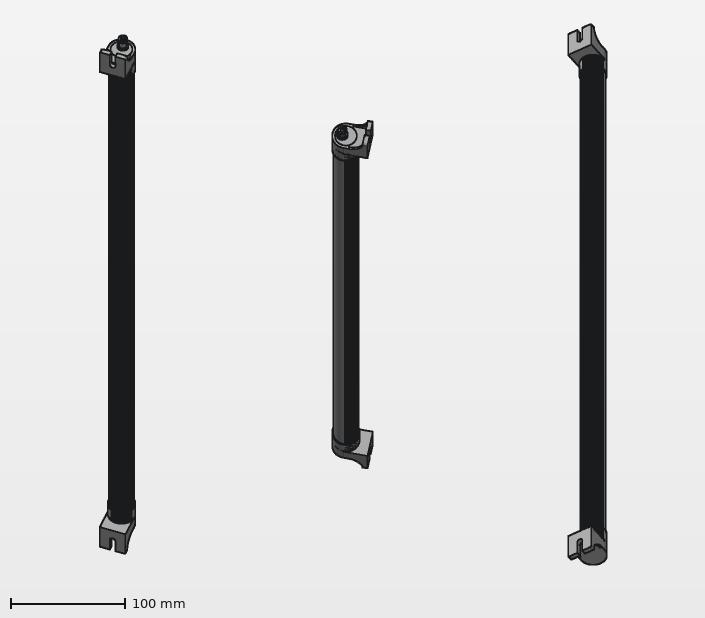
import cadquery as cq
import math

total_length = 638.5
half_length = total_length / 2

cap_diameter = 24.0
cap_radius = cap_diameter / 2
overall_depth = 34.0
mount_face_y = cap_radius - overall_depth
tab_height = 13.5
block_height = 12.0
collar_height = 13.5
tab_thickness = 4.5
tab_back_y = mount_face_y + tab_thickness
gusset_thickness = 2.0
gusset_radius = 13.0
tab_corner_radius = 1.0
slot_width = 5.0
slot_depth = 15.5

cap_end_z = half_length - tab_height
block_base_z = cap_end_z - block_height
collar_end_z = block_base_z - collar_height

tube_diameter = 22.5
tube_radius = tube_diameter / 2
flute_count = 32
flute_depth = 0.45
flute_span_angle = math.radians(170)

plug_diameter = 19.0
plug_depth = 6.5
connector_y = 3.0
connector_head_diameter = 7.5
connector_neck_diameter = 6.5
connector_flange_diameter = 9.5
connector_bore_diameter = 4.0
connector_head_height = 2.5
connector_flange_rise = 1.6
connector_top_drop = 2.5
connector_top_z = half_length - connector_top_drop
connector_flange_top_z = cap_end_z + connector_flange_rise
plug_base_z = cap_end_z - plug_depth


def cylinder(diameter, bottom_z, top_z, center_y=0.0):
    """Upright cylinder centred on X = 0."""
    return (
        cq.Workplane("XY", origin=(0, center_y, bottom_z))
        .circle(diameter / 2)
        .extrude(top_z - bottom_z)
    )


def make_gusset():
    """Side wall in the YZ plane that braces the tab with a concave arc."""
    arc_mid_offset = gusset_radius * (1 - math.sqrt(0.5))
    return (
        cq.Workplane("YZ")
        .moveTo(tab_back_y, cap_end_z)
        .lineTo(tab_back_y, cap_end_z + gusset_radius)
        .threePointArc(
            (tab_back_y + arc_mid_offset, cap_end_z + arc_mid_offset),
            (tab_back_y + gusset_radius, cap_end_z),
        )
        .close()
        .extrude(gusset_thickness)
    )


def make_slot():
    """Round-ended slot through the tab, open at its tip."""
    slot_center_z = half_length - slot_depth + slot_width / 2
    return (
        cq.Workplane("XZ", origin=(0, tab_back_y, 0))
        .moveTo(-slot_width / 2, half_length)
        .lineTo(-slot_width / 2, slot_center_z)
        .threePointArc((0, half_length - slot_depth), (slot_width / 2, slot_center_z))
        .lineTo(slot_width / 2, half_length)
        .close()
        .extrude(tab_thickness)
    )


def make_cap():
    """Upper-end cap with a tube socket, a mounting block and a slotted tab; no plug recess."""
    barrel = cylinder(cap_diameter, collar_end_z, cap_end_z)
    block = (
        cq.Workplane("XY")
        .box(cap_diameter, -mount_face_y, block_height, centered=(True, False, False))
        .translate((0, mount_face_y, block_base_z))
    )
    tab = (
        cq.Workplane("XY")
        .box(cap_diameter, tab_thickness, half_length - block_base_z, centered=(True, False, False))
        .translate((0, mount_face_y, block_base_z))
        .edges("|Y and >Z")
        .fillet(tab_corner_radius)
    )
    cap = barrel.union(block).union(tab)
    for left_x in (-cap_radius, cap_radius - gusset_thickness):
        cap = cap.union(make_gusset().translate((left_x, 0, 0)))
    socket = cylinder(tube_diameter, collar_end_z, block_base_z)
    return cap.cut(make_slot()).cut(socket)


def make_tube():
    """Round bar, smooth at the back and covered with fine lengthwise flutes around the -Y side."""
    flute_angle = flute_span_angle / flute_count
    first_crest = 1.5 * math.pi - flute_span_angle / 2
    last_crest = first_crest + flute_span_angle
    valley_radius = tube_radius - flute_depth

    def outline_point(radius, angle):
        return (radius * math.cos(angle), radius * math.sin(angle))

    outline = (
        cq.Workplane("XY", origin=(0, 0, -block_base_z))
        .moveTo(*outline_point(tube_radius, last_crest))
        .threePointArc((0, tube_radius), outline_point(tube_radius, first_crest))
    )
    for flute in range(flute_count):
        crest = first_crest + flute * flute_angle
        outline = outline.threePointArc(
            outline_point(valley_radius, crest + flute_angle / 2),
            outline_point(tube_radius, crest + flute_angle),
        )
    return outline.close().extrude(2 * block_base_z)


def make_connector():
    """Plug flush with the cap end, carrying an offset flanged post with a bored head."""
    head_base_z = connector_top_z - connector_head_height
    plug = cylinder(plug_diameter, plug_base_z, cap_end_z)
    flange = cylinder(connector_flange_diameter, cap_end_z, connector_flange_top_z, connector_y)
    neck = cylinder(connector_neck_diameter, connector_flange_top_z, head_base_z, connector_y)
    head = cylinder(connector_head_diameter, head_base_z, connector_top_z, connector_y)
    bore = cylinder(connector_bore_diameter, head_base_z, connector_top_z, connector_y)
    return plug.union(flange).union(neck).union(head).cut(bore)


plug_recess = cylinder(plug_diameter, plug_base_z, cap_end_z)
upper_cap = make_cap().cut(plug_recess)
lower_cap = make_cap().mirror("XY")
tube = make_tube()
connector = make_connector()

result = cq.Compound.makeCompound([tube.val(), upper_cap.val(), lower_cap.val(), connector.val()])